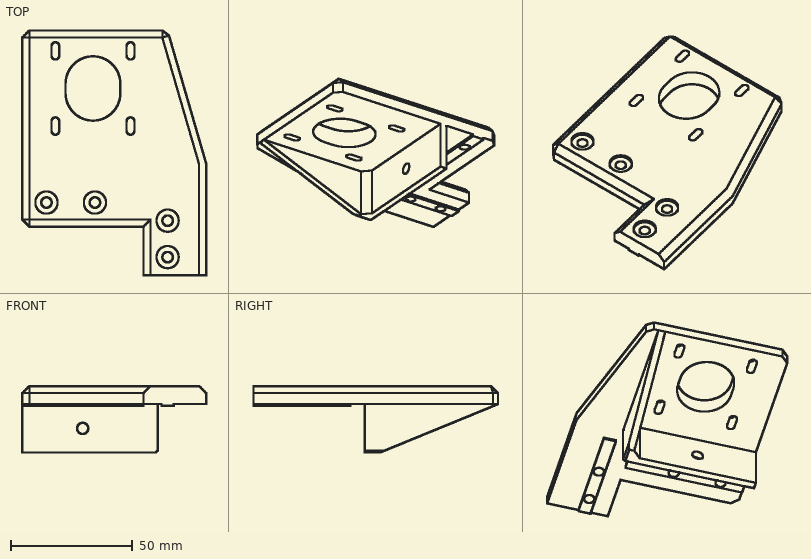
import cadquery as cq
import math

length = 101.0
width = 76.0
plate_thickness = 7.5
bevel = 2.9
clip_size = 30.3
leg_left = 50.0
leg_height = 20.0
top_right_x = 60.0
slope_start_y = 46.1

motor_x = 29.2
motor_y = 77.1
motor_travel = 3.9
motor_hole_diameter = 22.5
motor_slot_width = 3.1
motor_slot_spacing = 31.0

screw_diameter = 4.2
head_diameter = 9.2
head_depth = 1.0
screw_row_y = 30.0
screw_row_x = (10.0, 30.0)
leg_screw_x = 60.0
leg_screw_y = (7.5, 22.5)
rail_width = 5.3
rail_height = 0.75
leg_rail_length = 40.0

total_height = 27.5
wall_front_y = 46.0
wall_thickness = 3.0
wall_right = 56.0
wall_corner_chamfer = 0.9
wall_hole_x = 24.9
wall_hole_diameter = 4.5
gusset_thickness = 3.0
gusset_back_y = length
gusset_corner = 3.2

wall_height = total_height - plate_thickness
wall_back_y = wall_front_y + wall_thickness


def clip_corner(plate, corner, first_side, second_side, foot):
    """Clip a plate corner between the points a foot length along its two sides.

    One cut is vertical; the other leans in to the sharp corner of the top face.
    The two sides are unit directions leading away from the corner.
    """
    bevel_base = cq.Vector(0, 0, -bevel)
    start = corner + first_side * foot + bevel_base
    end = corner + second_side * foot + bevel_base
    along = (end - start).normalized()
    inward = (first_side + second_side).normalized()
    top_vertex = corner + inward * math.hypot(bevel, foot)
    lean = (top_vertex - start).cross(along)
    if lean.z < 0:
        lean = lean * -1
    for normal in (inward * -1, lean):
        plane = cq.Plane(start.toTuple(), along.toTuple(), normal.toTuple())
        cutter = cq.Workplane(plane)
        plate = plate.cut(cutter.rect(clip_size, clip_size).extrude(clip_size))
    return plate


def make_plate():
    """Plate with a narrow leg, bevelled everywhere except at the leg end."""
    outline = [
        (0, leg_height),
        (leg_left, leg_height),
        (leg_left, 0),
        (width, 0),
        (width, slope_start_y),
        (top_right_x, length),
        (0, length),
    ]
    plate = cq.Workplane("XY").polyline(outline).close().extrude(-plate_thickness)
    top_edges = plate.faces(">Z").edges().filter(lambda edge: edge.Center().y > 0)
    plate = top_edges.chamfer(bevel)
    square_foot = bevel
    slope_angle = math.atan2(width - top_right_x, length - slope_start_y)
    slope_foot = bevel * math.tan((math.pi / 2 - slope_angle) / 2)
    slope_direction = cq.Vector(math.sin(slope_angle), -math.cos(slope_angle))
    right, left = cq.Vector(1, 0), cq.Vector(-1, 0)
    up, down = cq.Vector(0, 1), cq.Vector(0, -1)
    plate = clip_corner(plate, cq.Vector(0, leg_height), up, right, square_foot)
    plate = clip_corner(plate, cq.Vector(0, length), right, down, square_foot)
    return clip_corner(plate, cq.Vector(top_right_x, length), slope_direction, left, slope_foot)


def make_rails():
    """Shallow rails under the two screw rows."""
    base = cq.Workplane("XY").workplane(offset=-plate_thickness)
    row_rail = base.center(leg_left / 2, screw_row_y).rect(leg_left, rail_width).extrude(-rail_height)
    leg_rail = base.center(leg_screw_x, leg_rail_length / 2).rect(rail_width, leg_rail_length)
    return row_rail.union(leg_rail.extrude(-rail_height))


def make_wall():
    """Wall hanging below the plate, with a screw hole."""
    wall = (
        cq.Workplane("XY", origin=(0, wall_front_y, -total_height))
        .box(wall_right, wall_thickness, wall_height, centered=False)
    )
    hole = (
        cq.Workplane("XZ", origin=(wall_hole_x, wall_front_y, -plate_thickness - wall_height / 2))
        .circle(wall_hole_diameter / 2)
        .extrude(-wall_thickness)
    )
    return wall.cut(hole)


def make_gusset():
    """Triangular gusset with a diagonal web filling its inner corner with the wall."""
    gusset_left = wall_right - gusset_thickness
    profile = [
        (wall_front_y, -total_height),
        (wall_back_y + gusset_corner, -total_height),
        (gusset_back_y, -plate_thickness),
        (wall_front_y, -plate_thickness),
    ]
    gusset = (
        cq.Workplane("YZ", origin=(gusset_left, 0, 0))
        .polyline(profile)
        .close()
        .extrude(gusset_thickness)
    )
    corner = (
        cq.Workplane("XY", origin=(gusset_left, wall_back_y, -total_height))
        .polyline([(0, 0), (-gusset_corner, 0), (0, gusset_corner)])
        .close()
        .extrude(wall_height)
    )
    return gusset.union(corner)


def cut_motor_mount(body):
    """Cut the motor opening and the four mounting slots."""
    half_spacing = motor_slot_spacing / 2
    center = cq.Workplane("XY", origin=(motor_x, motor_y, 0))
    opening = center.slot2D(motor_hole_diameter + motor_travel, motor_hole_diameter, 90)
    opening = opening.extrude(-plate_thickness)
    offsets = (-half_spacing, half_spacing)
    slot_points = [(x, y) for x in offsets for y in offsets]
    slots = center.pushPoints(slot_points)
    slots = slots.slot2D(motor_slot_width + motor_travel, motor_slot_width, 90)
    slots = slots.extrude(-plate_thickness)
    return body.cut(opening).cut(slots)


def cut_screw_holes(body):
    """Drill the counterbored holes through the plate and rails."""
    points = [(x, screw_row_y) for x in screw_row_x]
    points += [(leg_screw_x, y) for y in leg_screw_y]
    top = cq.Workplane("XY").pushPoints(points)
    holes = top.circle(screw_diameter / 2).extrude(-plate_thickness - rail_height)
    heads = top.circle(head_diameter / 2).extrude(-head_depth)
    return body.cut(holes).cut(heads)


hanger = make_wall().union(make_gusset()).edges("|Y and >X and <Z").chamfer(wall_corner_chamfer)
body = make_plate().union(make_rails()).union(hanger)
result = cut_screw_holes(cut_motor_mount(body))